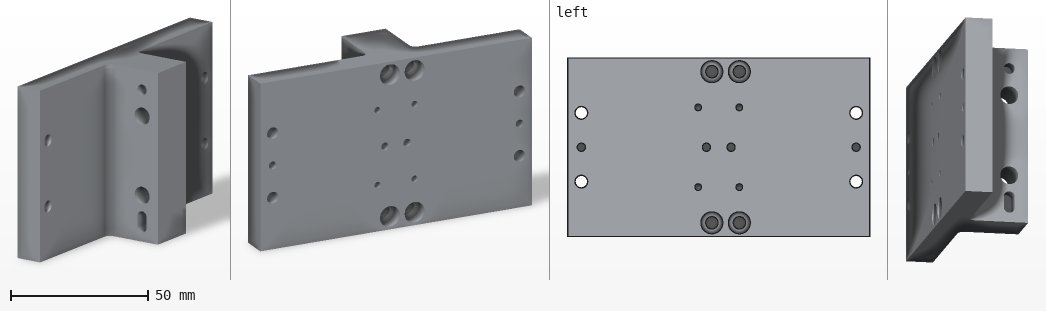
import cadquery as cq
import math

plate_thickness = 10.0
plate_width = 110.0
plate_height = 65.0

slot_depth = 2.0
block_center_y = -2.5
block_width = 18.0
block_end_x = 32.0
flange_fillet = 2.5
flange_width = block_width + 2 * flange_fillet
slot_floor_x = plate_thickness - slot_depth

clearance_diameter = 4.5
end_hole_y = 50.0
end_hole_z = 12.5
dowel_diameter = 3.0
dowel_depth = 6.0

middle_dowel_y = 4.5
tapped_diameter = 2.46
tapped_depth = 6.0
drill_point_angle = 118.0
tapped_y = 7.5
tapped_z = 14.5

counterbore_diameter = 8.0
counterbore_depth = 4.6
screw_spacing_y = 10.0
screw_z = 27.5

cross_hole_x = 25.0
bolt_diameter = 6.6
bolt_z = 15.0
locating_diameter = 4.0
locating_z = 25.0
locating_slot_length = 8.0
locating_depth = 6.0


def mirrored_points(y, z):
    """The four points at +/-y, +/-z."""
    return [(side_y * y, side_z * z) for side_y in (-1, 1) for side_z in (-1, 1)]


def plate_holes(points, diameter, depth):
    """Round cutters entering the outer face of the plate at (Y, Z) points."""
    return cq.Workplane("YZ").pushPoints(points).circle(diameter / 2).extrude(depth)


def drilled_hole(y, z, diameter, depth):
    """Cutter for a blind drilled hole along +X that ends in a drill point."""
    radius = diameter / 2
    tip_length = radius / math.tan(math.radians(drill_point_angle / 2))
    profile = [(0, 0), (0, radius), (depth, radius), (depth + tip_length, 0)]
    drill = cq.Workplane("XY").polyline(profile).close().revolve(360, (0, 0, 0), (1, 0, 0))
    return drill.translate((0, y, z))


def make_plate():
    plate = cq.Workplane("XY").box(
        plate_thickness, plate_width, plate_height, centered=(False, True, True)
    )

    slot = (
        cq.Workplane("XY")
        .box(slot_depth, flange_width, plate_height, centered=(False, True, True))
        .translate((slot_floor_x, block_center_y, 0))
    )
    plate = plate.cut(slot)

    end_points = mirrored_points(end_hole_y, end_hole_z)
    plate = plate.cut(plate_holes(end_points, clearance_diameter, plate_thickness))
    dowel_points = [(side * y, 0) for y in (end_hole_y, middle_dowel_y) for side in (-1, 1)]
    plate = plate.cut(plate_holes(dowel_points, dowel_diameter, dowel_depth))

    for y, z in mirrored_points(tapped_y, tapped_z):
        plate = plate.cut(drilled_hole(y, z, tapped_diameter, tapped_depth))

    screw_points = [(block_center_y + y, z) for y, z in mirrored_points(screw_spacing_y / 2, screw_z)]
    plate = plate.cut(plate_holes(screw_points, clearance_diameter, slot_floor_x))
    return plate.cut(plate_holes(screw_points, counterbore_diameter, counterbore_depth))


def make_block():
    half_flange = flange_width / 2
    half_block = block_width / 2
    fillet_end_x = plate_thickness + flange_fillet
    fillet_middle = flange_fillet * (1 - math.sqrt(0.5))
    fillet_middle_x = plate_thickness + fillet_middle
    fillet_middle_y = half_block + fillet_middle
    block = (
        cq.Workplane("XY")
        .moveTo(slot_floor_x, -half_flange)
        .lineTo(plate_thickness, -half_flange)
        .threePointArc((fillet_middle_x, -fillet_middle_y), (fillet_end_x, -half_block))
        .lineTo(block_end_x, -half_block)
        .lineTo(block_end_x, half_block)
        .lineTo(fillet_end_x, half_block)
        .threePointArc((fillet_middle_x, fillet_middle_y), (plate_thickness, half_flange))
        .lineTo(slot_floor_x, half_flange)
        .close()
        .extrude(plate_height / 2, both=True)
        .translate((0, block_center_y, 0))
    )

    front_face = cq.Workplane("XZ", origin=(cross_hole_x, block_center_y - half_block, 0))
    bolts = front_face.pushPoints([(0, -bolt_z), (0, bolt_z)]).circle(bolt_diameter / 2).extrude(-block_width)
    round_hole = front_face.center(0, locating_z).circle(locating_diameter / 2).extrude(-locating_depth)
    slotted_hole = (
        front_face.center(0, -locating_z)
        .slot2D(locating_slot_length, locating_diameter, 90)
        .extrude(-locating_depth)
    )
    return block.cut(bolts).cut(round_hole).cut(slotted_hole)


plate = make_plate()
block = make_block()
result = cq.Compound.makeCompound([plate.val(), block.val()])